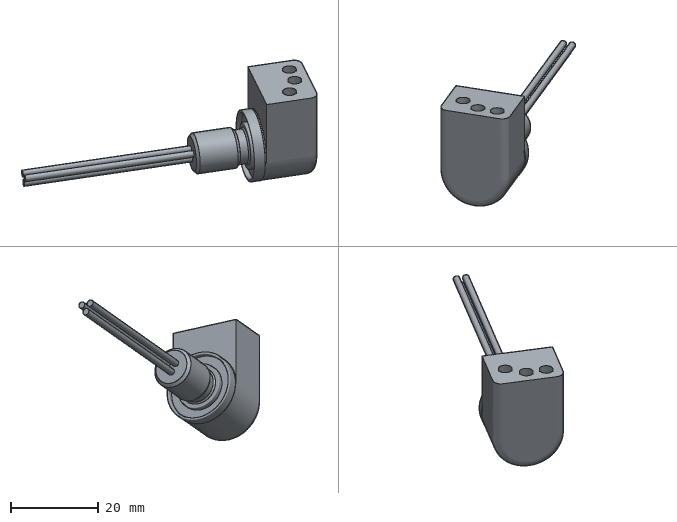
import cadquery as cq
import math


body_length = 12.4
flange_end = 15.2
sleeve_start = 17.5
sleeve_end = 27.94
overall_length = 67.93

flange_start = 12.75
flange_diameter = 16.76
flange_edge_radius = 0.127

overall_height = 24.36
body_width = 16.64
body_radius = body_width / 2
body_top = overall_height - flange_diameter / 2
back_edge_radius = 1.9

groove_outer_diameter = 15.49
groove_inner_diameter = 10.97
groove_depth = 1.14

neck_diameter = 8.13
neck_root_chamfer = 0.38
sleeve_diameter = 9.53
sleeve_rear_chamfer_depth = 0.63
sleeve_rear_chamfer_length = 0.73
sleeve_front_chamfer = 0.7

wire_count = 3
wire_diameter = 1.57
wire_circle_radius = 1.27
first_wire_angle = -90

hole_diameter = 3.17
hole_depth = 10.0
rear_hole_setback = 3.5
front_hole_setback = 5.9
hole_places = [
    (-4.7, rear_hole_setback),
    (0, rear_hole_setback),
    (4.4, front_hole_setback),
]


def cylinder(diameter, start, end, x=0, z=0):
    """Cylinder along the cable axis between two distances from the back."""
    return (
        cq.Workplane("XZ", origin=(x, -start, z))
        .circle(diameter / 2)
        .extrude(end - start)
    )


def make_body():
    """Block with a half-round bottom, its back edge rounded on all but the top."""
    body = (
        cq.Workplane("XZ")
        .moveTo(-body_radius, body_top)
        .lineTo(-body_radius, 0)
        .threePointArc((0, -body_radius), (body_radius, 0))
        .lineTo(body_radius, body_top)
        .close()
        .extrude(body_length)
    )
    rounded_edges = body.faces(">Y").edges("not >Z")
    return rounded_edges.fillet(back_edge_radius)


def make_flange():
    """Round flange with a ring groove and softened front edges, on a collar flush with the body."""
    collar = cylinder(body_width, body_length, flange_start)
    groove_floor = flange_end - groove_depth
    disc = cylinder(flange_diameter, flange_start, groove_floor)
    rim = cylinder(flange_diameter, groove_floor, flange_end)
    rim = rim.cut(cylinder(groove_outer_diameter, groove_floor, flange_end))
    rim = rim.faces("<Y").edges().fillet(flange_edge_radius)
    hub = cylinder(groove_inner_diameter, groove_floor, flange_end)
    hub = hub.faces("<Y").edges().fillet(flange_edge_radius)
    return collar.union(disc).union(rim).union(hub)


def make_neck_and_sleeve():
    """Turned neck with a flared root, followed by the chamfered cable sleeve."""
    neck_radius = neck_diameter / 2
    sleeve_radius = sleeve_diameter / 2
    profile = [
        (0, -flange_end),
        (neck_radius + neck_root_chamfer, -flange_end),
        (neck_radius, -flange_end - neck_root_chamfer),
        (neck_radius, -sleeve_start),
        (sleeve_radius - sleeve_rear_chamfer_depth, -sleeve_start),
        (sleeve_radius, -sleeve_start - sleeve_rear_chamfer_length),
        (sleeve_radius, -sleeve_end + sleeve_front_chamfer),
        (sleeve_radius - sleeve_front_chamfer, -sleeve_end),
        (0, -sleeve_end),
    ]
    return cq.Workplane("XY").polyline(profile).close().revolve(360, (0, 0, 0), (0, 1, 0))


def make_wire(index):
    """One of the wires evenly spaced around the cable axis."""
    angle = math.radians(first_wire_angle + index * 360 / wire_count)
    x = wire_circle_radius * math.cos(angle)
    z = wire_circle_radius * math.sin(angle)
    return cylinder(wire_diameter, sleeve_end, overall_length, x, z)


def make_contact_hole(x, setback):
    """Blind hole going down from the top face."""
    return (
        cq.Workplane("XY", origin=(x, -setback, body_top - hole_depth))
        .circle(hole_diameter / 2)
        .extrude(hole_depth)
    )


result = make_body().union(make_flange()).union(make_neck_and_sleeve())
for wire_index in range(wire_count):
    result = result.union(make_wire(wire_index))
for hole_x, hole_setback in hole_places:
    result = result.cut(make_contact_hole(hole_x, hole_setback))